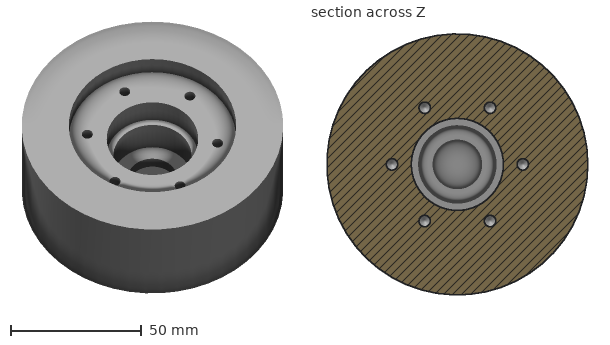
import cadquery as cq
import math

body_diameter = 100.0
body_height = 40.22

boss_diameter = 40.0
boss_height = 2.0

recess_diameter = 64.0
recess_depth = 8.22
seat_diameter = 35.0
seat_depth = 11.0
bore_diameter = 30.0
bore_depth = 14.0
pocket_diameter = 19.0
pocket_depth = 5.0

hole_count = 6
hole_diameter = 4.2
hole_circle_diameter = 50.0
hole_depth = 10.0
drill_point_angle = 118.0

recess_floor = body_height - recess_depth


def make_body():
    body = cq.Workplane("XY").circle(body_diameter / 2).extrude(body_height)
    boss = cq.Workplane("XY").circle(boss_diameter / 2).extrude(-boss_height)
    return body.union(boss)


def cut_stepped_bore(part):
    steps = [
        (recess_diameter, recess_depth),
        (seat_diameter, seat_depth),
        (bore_diameter, bore_depth),
        (pocket_diameter, pocket_depth),
    ]
    step_top = body_height
    for diameter, depth in steps:
        step = cq.Workplane("XY").workplane(offset=step_top).circle(diameter / 2).extrude(-depth)
        part = part.cut(step)
        step_top -= depth
    return part


def make_drilled_hole():
    """Cylinder with a conical point, its mouth centred on the origin and pointing down."""
    radius = hole_diameter / 2
    point_length = radius / math.tan(math.radians(drill_point_angle / 2))
    return (
        cq.Workplane("XZ")
        .lineTo(radius, 0)
        .lineTo(radius, -hole_depth)
        .lineTo(0, -hole_depth - point_length)
        .close()
        .revolve(360, (0, 0, 0), (0, 1, 0))
    )


def cut_hole_circle(part):
    hole = make_drilled_hole().translate((hole_circle_diameter / 2, 0, recess_floor))
    for index in range(hole_count):
        angle = index * 360 / hole_count
        part = part.cut(hole.rotate((0, 0, 0), (0, 0, 1), angle))
    return part


result = cut_hole_circle(cut_stepped_bore(make_body()))